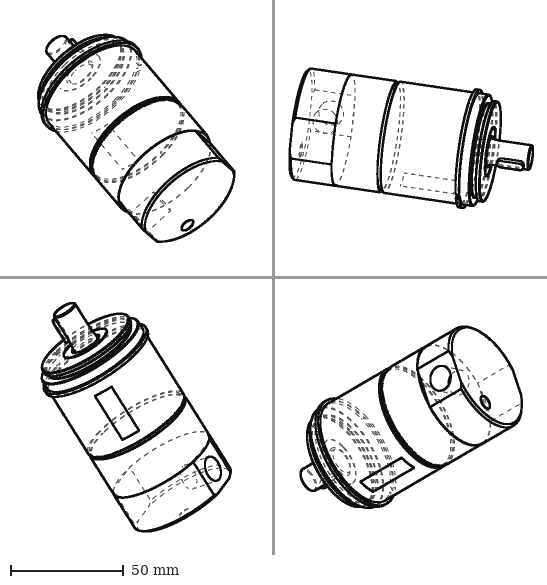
import cadquery as cq
import math


taper_start = 15.8
taper_end = 17.7
pilot_front = 18.3
pilot_rear = 20.2
body_front = 22.5
ring_front = 27.0
body_rear = 62.8
gear_front = 64.3
cap_front = 85.0
cap_rear = 104.4
total_length = 104.6

shaft_radius = 5.5
collar_radius = 6.0
seal_lip_radius = 7.0
seal_radius = 11.1
pilot_radius = 22.5
pilot_groove_radius = 21.0
body_radius = 25.0
neck_radius = 24.1
ring_diameter = 53.0
ring_radius = ring_diameter / 2

shaft_chamfer = 0.4
fine_chamfer = 0.3
joint_bevel_length = 1.0
joint_bevel_drop = 0.3
cap_chamfer = 1.0

seal_depth = 0.3
lip_depth = seal_lip_radius - collar_radius

ring_width = 1.6
gap_outer_top = -4.0
gap_inner_top = -3.0
gap_bottom = -7.0

key_length = 12.0
key_width = 4.0
key_start = 1.9
key_top = 7.0
key_floor = 3.0

flat_angle = 26.8
flat_distance = 23.1
port_x = 95.0
port_diameter = 11.2
port_depth = 13.9

nameplate_start = 34.2
nameplate_length = 24.1
nameplate_width = 8.6
nameplate_thickness = 0.1
end_pad_diameter = 6.3
end_pad_y = -1.2
end_pad_z = -16.9


def disc(start, end, radius):
    """Solid cylinder on the motor axis."""
    return cq.Workplane("YZ", origin=(start, 0, 0)).circle(radius).extrude(end - start)


def turned_body():
    """Shaft, pilot, housing, gear section and end cap as one turned profile."""
    seal_face = pilot_front + seal_depth
    bevel_radius = body_radius - joint_bevel_drop
    profile = [
        (0, 0),
        (0, shaft_radius - shaft_chamfer),
        (shaft_chamfer, shaft_radius),
        (taper_start, shaft_radius),
        (taper_end, collar_radius),
        (seal_face + lip_depth, collar_radius),
        (seal_face, seal_lip_radius),
        (seal_face, seal_radius),
        (pilot_front, seal_radius),
        (pilot_front, pilot_radius - fine_chamfer),
        (pilot_front + fine_chamfer, pilot_radius),
        (pilot_rear, pilot_radius),
        (pilot_rear, pilot_groove_radius + fine_chamfer),
        (pilot_rear + fine_chamfer, pilot_groove_radius),
        (body_front - fine_chamfer, pilot_groove_radius),
        (body_front, pilot_groove_radius + fine_chamfer),
        (body_front, body_radius - fine_chamfer),
        (body_front + fine_chamfer, body_radius),
        (body_rear, body_radius),
        (body_rear, neck_radius),
        (gear_front, neck_radius),
        (gear_front, bevel_radius),
        (gear_front + joint_bevel_length, body_radius),
        (cap_front - joint_bevel_length, body_radius),
        (cap_front, bevel_radius),
        (cap_front, body_radius),
        (cap_rear - cap_chamfer, body_radius),
        (cap_rear, body_radius - cap_chamfer),
        (cap_rear, 0),
    ]
    return cq.Workplane("XY").polyline(profile).close().revolve(360, (0, 0, 0), (1, 0, 0))


def retaining_ring():
    """Collar around the housing, open at a tapered gap on the +Y side."""
    ring = disc(ring_front, ring_front + ring_width, ring_radius)
    inner_y = math.sqrt(body_radius**2 - gap_bottom**2)
    outer_y = ring_radius
    gap = (
        cq.Workplane("YZ", origin=(ring_front, 0, 0))
        .polyline([
            (inner_y, gap_inner_top),
            (body_radius, gap_inner_top),
            (outer_y, gap_outer_top),
            (outer_y, gap_bottom),
            (inner_y, gap_bottom),
        ])
        .close()
        .extrude(ring_width)
    )
    return ring.cut(gap)


def shaft_key():
    """Round-ended key standing out of the shaft towards +Y."""
    center_x = key_start + key_length / 2
    return (
        cq.Workplane("XZ", origin=(center_x, key_top, 0))
        .slot2D(key_length, key_width)
        .extrude(key_top - key_floor)
    )


def wrench_flat(angle):
    """Material to remove beyond a flat whose normal is turned by angle from +Y about X."""
    length = total_length - cap_front
    depth = body_radius - flat_distance
    return (
        cq.Workplane("XY")
        .box(length, depth, 2 * body_radius, centered=(False, False, True))
        .translate((cap_front, flat_distance, 0))
        .rotate((0, 0, 0), (1, 0, 0), angle)
    )


def port():
    """Blind hole square to the flat on the -Y side."""
    return (
        cq.Workplane("XZ", origin=(port_x, flat_distance, 0))
        .circle(port_diameter / 2)
        .extrude(port_depth)
        .rotate((0, 0, 0), (1, 0, 0), flat_angle + 180)
    )


def nameplate():
    """Thin curved plate on the underside of the housing."""
    plate_end = nameplate_start + nameplate_length
    layer = disc(nameplate_start, plate_end, body_radius + nameplate_thickness)
    footprint = (
        cq.Workplane("XY", origin=(nameplate_start + nameplate_length / 2, 0, 0))
        .rect(nameplate_length, nameplate_width)
        .extrude(-ring_radius)
    )
    return layer.intersect(footprint)


def end_pad():
    """Thin round pad on the rear face."""
    return (
        cq.Workplane("YZ", origin=(cap_rear, end_pad_y, end_pad_z))
        .circle(end_pad_diameter / 2)
        .extrude(total_length - cap_rear)
    )


result = turned_body().union(retaining_ring()).union(shaft_key())
for angle in (flat_angle, flat_angle + 180):
    result = result.cut(wrench_flat(angle))
result = result.cut(port()).union(nameplate()).union(end_pad())